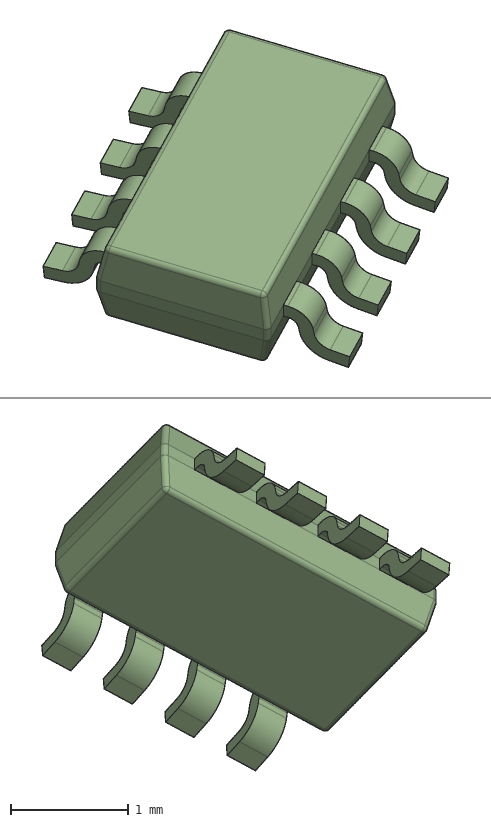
import cadquery as cq
import math

body_length = 2.9
body_width = 1.6
body_bottom = 0.05
body_top = 0.9
draft_angle = 10.0
edge_radius = 0.05

lead_count = 4
lead_pitch = 0.65
lead_width = 0.3
lead_thickness = 0.14
lead_top = 0.542
lead_span = 2.82
leg_angle = 80.0
foot_angle = 5.0
foot_length = 0.18
shoulder_inner_radius = 0.1
ankle_inner_radius = 0.162
lead_embed = 0.145

band_top = lead_top
band_bottom = lead_top - lead_thickness


def drafted_block(start_z, height):
    """Body half that starts at start_z and narrows with distance; negative height goes down."""
    return (
        cq.Workplane("XY", origin=(0, 0, start_z))
        .rect(body_width, body_length)
        .extrude(height, taper=draft_angle)
    )


def make_body():
    band = cq.Workplane("XY", origin=(0, 0, band_bottom)).rect(body_width, body_length)
    body = band.extrude(lead_thickness)
    body = body.union(drafted_block(band_top, body_top - band_top))
    body = body.union(drafted_block(band_bottom, body_bottom - band_bottom))
    corner_edges = body.edges("not #Z")
    rim_edges = body.edges("<Z or >Z")
    return corner_edges.add(rim_edges).fillet(edge_radius)


def along(start, angle, distance):
    """Point reached from start, moving outward at the given slope below horizontal."""
    slope = math.radians(angle)
    return (start[0] + distance * math.cos(slope), start[1] - distance * math.sin(slope))


def above(center, angle, radius):
    """Point at the given radius from center, square to a slope of the given angle."""
    return along(center, angle - 90, radius)


def lead_profile():
    """Closed lead outline in the XZ plane for the +X side."""
    shoulder_outer_radius = shoulder_inner_radius + lead_thickness
    ankle_outer_radius = ankle_inner_radius + lead_thickness
    leg = math.radians(leg_angle)
    foot = math.radians(foot_angle)

    tip_upper = (lead_span / 2, lead_thickness * math.cos(foot))
    tip_lower = above(tip_upper, foot_angle, -lead_thickness)
    foot_upper = along(tip_upper, foot_angle, -foot_length)
    foot_lower = along(tip_lower, foot_angle, -foot_length)

    ankle_center = above(foot_upper, foot_angle, ankle_inner_radius)
    leg_end_upper = above(ankle_center, leg_angle, -ankle_inner_radius)
    leg_end_lower = above(ankle_center, leg_angle, -ankle_outer_radius)

    shoulder_drop = shoulder_outer_radius * (1 - math.cos(leg))
    leg_length = (lead_top - shoulder_drop - leg_end_upper[1]) / math.sin(leg)
    leg_start_upper = along(leg_end_upper, leg_angle, -leg_length)
    leg_start_lower = along(leg_end_lower, leg_angle, -leg_length)
    shoulder_center = above(leg_start_upper, leg_angle, -shoulder_outer_radius)

    shoulder_middle = leg_angle / 2
    ankle_middle = (leg_angle + foot_angle) / 2
    root_x = body_width / 2 - lead_embed

    return (
        cq.Workplane("XZ")
        .moveTo(root_x, lead_top)
        .lineTo(shoulder_center[0], lead_top)
        .threePointArc(above(shoulder_center, shoulder_middle, shoulder_outer_radius), leg_start_upper)
        .lineTo(*leg_end_upper)
        .threePointArc(above(ankle_center, ankle_middle, -ankle_inner_radius), foot_upper)
        .lineTo(*tip_upper)
        .lineTo(*tip_lower)
        .lineTo(*foot_lower)
        .threePointArc(above(ankle_center, ankle_middle, -ankle_outer_radius), leg_end_lower)
        .lineTo(*leg_start_lower)
        .threePointArc(
            above(shoulder_center, shoulder_middle, shoulder_inner_radius),
            (shoulder_center[0], band_bottom),
        )
        .lineTo(root_x, band_bottom)
        .close()
    )


def make_part():
    part = make_body()
    right_lead = lead_profile().extrude(lead_width / 2, both=True)
    left_lead = right_lead.mirror("YZ")
    for index in range(lead_count):
        lead_y = (index - (lead_count - 1) / 2) * lead_pitch
        for lead in (right_lead, left_lead):
            part = part.union(lead.translate((0, lead_y, 0)))
    return part.solids()


result = make_part()